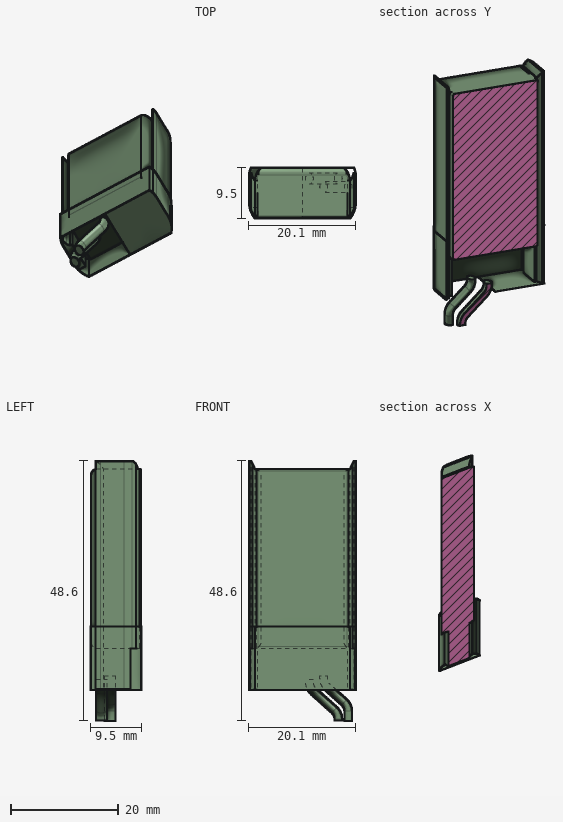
import cadquery as cq
import math


tape_width = 20.05
tape_depth = 9.5
tape_wall = 0.05
tape_bottom = 5.78
tape_top = 17.6
front_corner_x = 8.9
back_corner_x = 9.6
flat_front_y = -1.45
flat_back_y = 2.85

floor_edge_x = 0.0

cell_half_width = 8.9
cell_front_half_width = 8.6
cell_bow_start_y = 2.2
cell_back_half_width = 7.7
cell_front = -4.65
cell_back = tape_depth / 2 - tape_wall
cell_bottom = 13.55
cell_top = 47.05
front_corner_radius = 0.35
back_rim_radius = 1.3
rim_radius = 0.4

wing_outer_x = tape_width / 2 - tape_wall
wing_bottom = 6.0
wing_top = 48.55
wing_root_x = 8.4
wing_root_y = -4.55
wing_knee_x = 9.3
wing_knee_y = -3.75
wing_tail_front_y = -2.65
wing_bend_x = 9.7
wing_bend_y = -2.95
wing_tip_x = 9.8
wing_tip_y = 3.8
wing_inner_x = 9.25
wing_inner_y = 2.9
wing_touch_y = 2.35
rim_width = 0.4

wire_width_x = 1.45
wire_width_y = 2.1
wire_bend_radius = 2.25
wire_slant = 48.0
wire_lead = 0.5
wire_places = [
    (6.7, 2.7, 0.1, 0.4, 5.6),
    (8.55, 1.1, 0.0, 1.85, 6.3),
]


def tangent_arc_radius(across, along):
    """Radius of an arc that leaves a straight line and drifts sideways by `across` over `along`."""
    return (across**2 + along**2) / (2 * across)


def tangent_arc_middle(start, end):
    """Point midway on an arc that starts parallel to Y at `start` and finishes at `end`."""
    across = end[0] - start[0]
    along = end[1] - start[1]
    radius = tangent_arc_radius(abs(across), abs(along))
    half_angle = math.asin(abs(along) / radius) / 2
    x = start[0] + math.copysign(radius * (1 - math.cos(half_angle)), across)
    y = start[1] + math.copysign(radius * math.sin(half_angle), along)
    return (x, y)


def sleeve_outline():
    """Closed outer outline of the sleeve, with bowed corners, at the sleeve's lower end."""
    side_x = tape_width / 2
    half_depth = tape_depth / 2
    side_front = (side_x, flat_front_y)
    side_back = (side_x, flat_back_y)
    front = (front_corner_x, -half_depth)
    back = (back_corner_x, half_depth)
    front_middle = tangent_arc_middle(side_front, front)
    back_middle = tangent_arc_middle(side_back, back)

    def mirrored(point):
        return (-point[0], point[1])

    return (
        cq.Workplane("XY", origin=(0, 0, tape_bottom))
        .moveTo(*mirrored(front))
        .lineTo(*front)
        .threePointArc(front_middle, side_front)
        .lineTo(*side_back)
        .threePointArc(back_middle, back)
        .lineTo(*mirrored(back))
        .threePointArc(mirrored(back_middle), mirrored(side_back))
        .lineTo(*mirrored(side_front))
        .threePointArc(mirrored(front_middle), mirrored(front))
        .close()
    )


def make_tape():
    """Thin sleeve with a floor under its -X half."""
    height = tape_top - tape_bottom
    bore = sleeve_outline().offset2D(-tape_wall).extrude(height)
    floor = (
        cq.Workplane("XY", origin=(floor_edge_x - tape_width / 2, 0, tape_bottom))
        .rect(tape_width, tape_depth)
        .extrude(tape_wall)
    )
    return sleeve_outline().extrude(height).cut(bore.cut(floor))


def make_cell_core():
    """Rounded block: wide rounds along the back rims, narrow ones along the other rims."""
    length = cell_top - cell_bottom
    side = (cell_half_width, cell_bow_start_y)
    back = (cell_back_half_width, cell_back)
    bow_x, bow_y = tangent_arc_middle(side, back)
    plan = (
        cq.Workplane("XY", origin=(0, 0, cell_bottom))
        .moveTo(-cell_front_half_width, cell_front)
        .lineTo(cell_front_half_width, cell_front)
        .lineTo(*side)
        .threePointArc((bow_x, bow_y), back)
        .lineTo(-cell_back_half_width, cell_back)
        .threePointArc((-bow_x, bow_y), (-cell_half_width, cell_bow_start_y))
        .close()
        .extrude(length)
    )
    plan = plan.edges("|Z and <Y").fillet(front_corner_radius)
    plan = plan.faces("|Z").edges().fillet(rim_radius)
    back_rounds = (
        cq.Workplane("XY", origin=(0, (cell_front + cell_back) / 2, cell_bottom))
        .rect(2 * cell_half_width, cell_back - cell_front)
        .extrude(length)
        .edges("|X and >Y")
        .fillet(back_rim_radius)
    )
    return plan.intersect(back_rounds)


def make_wing():
    """Folded film edge on the +X side, running beyond both ends of the cell."""
    bend = (wing_bend_x, wing_bend_y)
    side_front = (wing_outer_x, flat_front_y)
    side_back = (wing_outer_x, flat_back_y)
    tip = (wing_tip_x, wing_tip_y)
    wing = (
        cq.Workplane("XY", origin=(0, 0, wing_bottom))
        .moveTo(wing_root_x, wing_root_y)
        .lineTo(wing_knee_x, wing_knee_y)
        .lineTo(*bend)
        .threePointArc(tangent_arc_middle(side_front, bend), side_front)
        .lineTo(*side_back)
        .threePointArc(tangent_arc_middle(side_back, tip), tip)
        .lineTo(wing_outer_x - rim_width, wing_tip_y)
        .lineTo(wing_inner_x, wing_inner_y)
        .lineTo(cell_half_width, wing_touch_y)
        .lineTo(wing_root_x, wing_touch_y)
        .close()
        .extrude(wing_top - wing_bottom)
    )
    return wing.cut(wing_slope()).cut(wing_notch()).cut(wing_relief())


def wing_slope():
    """Cutter that slopes the top from the rim down to the cell."""
    rim_x = wing_outer_x - rim_width
    return (
        cq.Workplane("XZ")
        .moveTo(rim_x, wing_top)
        .lineTo(cell_half_width, cell_top)
        .lineTo(0, cell_top)
        .lineTo(0, wing_top)
        .close()
        .extrude(tape_depth / 2, both=True)
    )


def wing_notch():
    """Cutter that hollows the front top corner with a concave curve."""
    drop = wing_top - cell_top
    reach = wing_knee_y - wing_root_y
    return (
        cq.Workplane("YZ")
        .center(wing_root_y, wing_top)
        .ellipse(reach, drop)
        .extrude(tape_width)
    )


def wing_relief():
    """Cutter that narrows the wing below the cell."""
    return (
        cq.Workplane("XY", origin=(0, 0, wing_bottom))
        .moveTo(0, wing_tail_front_y)
        .lineTo(tape_width, wing_tail_front_y)
        .lineTo(tape_width, -tape_depth)
        .lineTo(0, -tape_depth)
        .close()
        .extrude(cell_bottom - wing_bottom)
    )


def make_pouch():
    """Cell with both film edges, one solid."""
    wing = make_wing()
    return make_cell_core().union(wing).union(wing.mirror("YZ"))


def make_wire(axis_x, axis_y, end_z, bend_z, slant_top_z):
    """Wire that leads down, slants toward +X and turns down again to its cut end."""
    angle = math.radians(wire_slant)
    bend_drop = wire_bend_radius * math.sin(angle)
    bend_shift = wire_bend_radius * (1 - math.cos(angle))
    half_drop = wire_bend_radius * math.sin(angle / 2)
    half_shift = wire_bend_radius * (1 - math.cos(angle / 2))

    slant_end_x = axis_x - bend_shift
    slant_end_z = bend_z + bend_drop
    slant_top_x = slant_end_x - (slant_top_z - slant_end_z) * math.tan(angle)
    lead_x = slant_top_x - bend_shift
    lead_z = slant_top_z + bend_drop

    path = (
        cq.Workplane("XZ", origin=(0, axis_y, 0))
        .moveTo(axis_x, end_z)
        .lineTo(axis_x, bend_z)
        .threePointArc((axis_x - half_shift, bend_z + half_drop), (slant_end_x, slant_end_z))
        .lineTo(slant_top_x, slant_top_z)
        .threePointArc((lead_x + half_shift, lead_z - half_drop), (lead_x, lead_z))
        .lineTo(lead_x, lead_z + wire_lead)
    )
    section = cq.Workplane("XY", origin=(axis_x, axis_y, end_z))
    return section.ellipse(wire_width_x / 2, wire_width_y / 2).sweep(path)


tape = make_tape()
pouch = make_pouch()
wires = [make_wire(*place) for place in wire_places]

result = cq.Compound.makeCompound(
    [pouch.val(), tape.val(), *[wire.val() for wire in wires]]
)